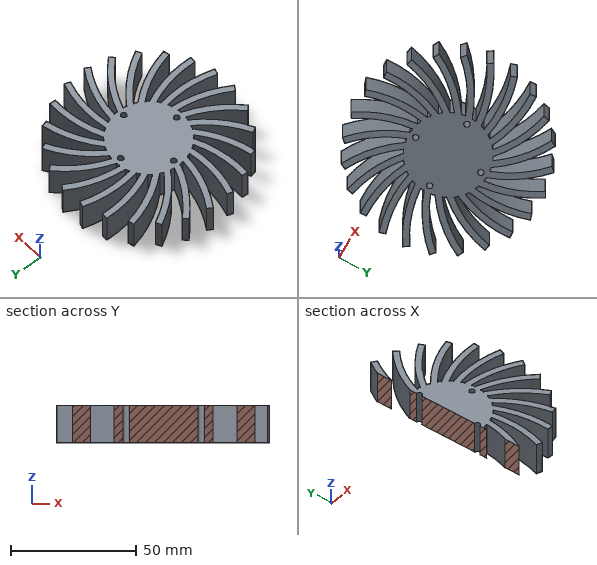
import cadquery as cq
import math

height = 15.0
hub_radius = 18.0

hole_count = 4
hole_diameter = 2.5
hole_circle_radius = 15.0

fin_count = 24
fin_thickness = 2.84
fin_arc_radius = 52.7
fin_arc_offset = 50.2
fin_sweep = 48.5
first_fin_angle = -0.2


def fin_point(radius, turn):
    """Point on an arc about the fin centre, `turn` degrees clockwise from the +Y axis."""
    angle = math.radians(turn)
    return (radius * math.sin(angle), radius * math.cos(angle) - fin_arc_offset)


def make_fin(angle):
    """One fin of constant thickness, turned about the hub axis by `angle` degrees."""
    outer_radius = fin_arc_radius + fin_thickness / 2
    inner_radius = fin_arc_radius - fin_thickness / 2
    middle = fin_sweep / 2
    return (
        cq.Workplane("XY")
        .moveTo(*fin_point(outer_radius, 0))
        .threePointArc(fin_point(outer_radius, middle), fin_point(outer_radius, fin_sweep))
        .lineTo(*fin_point(inner_radius, fin_sweep))
        .threePointArc(fin_point(inner_radius, middle), fin_point(inner_radius, 0))
        .close()
        .extrude(height)
        .rotate((0, 0, 0), (0, 0, 1), angle)
    )


def make_hub():
    """Solid round core that joins the fins."""
    return cq.Workplane("XY").circle(hub_radius).extrude(height)


def drill_holes(body):
    """Cut the ring of through holes, the first one on +X."""
    holes = (
        cq.Workplane("XY")
        .polarArray(hole_circle_radius, 0, 360, hole_count)
        .circle(hole_diameter / 2)
        .extrude(height)
    )
    return body.cut(holes)


body = make_hub()
for index in range(fin_count):
    body = body.union(make_fin(first_fin_angle + index * 360 / fin_count))

result = drill_holes(body)